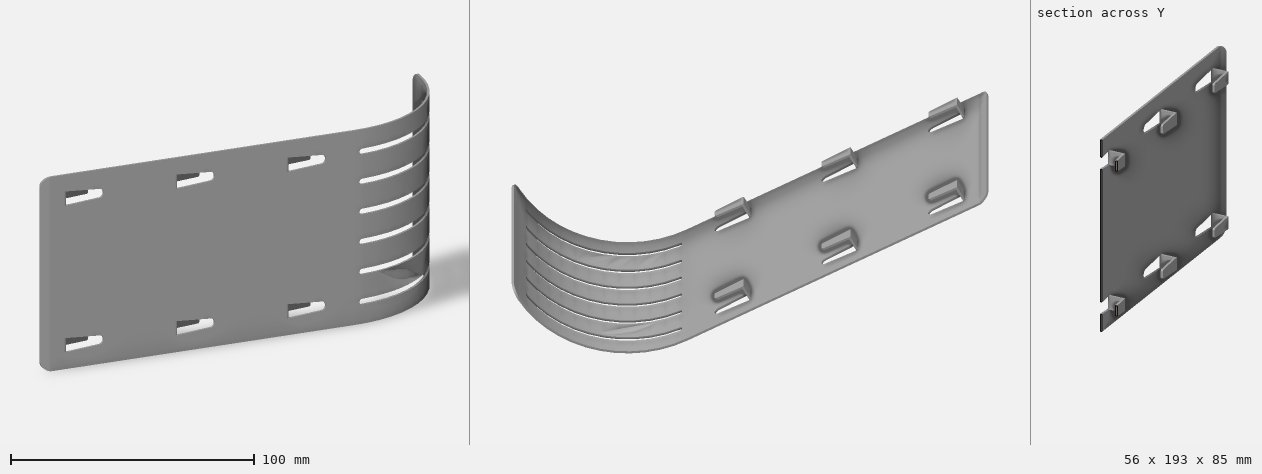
import cadquery as cq
import math

length = 193.0
width = 85.0
thickness = 1.0

bend_radius = 52.0
top_lip = 4.0

end_lip = 4.0
end_lip_angle = 15.0
corner_radius = 5.0

slot_count = 6
slot_pitch = 13.1
slot_width = 2.5
slot_start_angle = 2.5
slot_end_angle = 83.5
cutter_overrun = 2.0

hook_count = 3
hook_pitch = 50.0
first_hook_y = 10.8
hook_row_z = 32.0
hook_height = 8.0
hook_reach = 13.5
hook_root_width = 6.4
hook_tip_width = 4.0
tip_corner_radius = 0.8
opening_length = 17.8
root_bend_radius = 0.4

inner_radius = bend_radius - thickness
centre_x = -bend_radius
centre_y = length - bend_radius
end_lip_rise = end_lip * math.sin(math.radians(end_lip_angle))
end_lip_run = end_lip * math.cos(math.radians(end_lip_angle))
total_x = bend_radius + top_lip


def on_curve(radius, angle):
    """Point at a distance and angle (from the plate) about the curve centre."""
    turn = math.radians(angle)
    return (centre_x + radius * math.cos(turn), centre_y + radius * math.sin(turn))


def extrude_z(profile, height, z=0.0):
    """Extrude an XY profile by height, centred on level z."""
    return profile.extrude(height / 2, both=True).translate((0, 0, z))


def bent_sheet():
    mitre = thickness * math.tan(math.radians(end_lip_angle / 2))
    across_x = thickness * math.cos(math.radians(end_lip_angle))
    across_y = thickness * math.sin(math.radians(end_lip_angle))
    profile = (
        cq.Workplane("XY")
        .moveTo(-end_lip_rise, 0)
        .lineTo(0, end_lip_run)
        .lineTo(0, centre_y)
        .threePointArc(on_curve(bend_radius, 45), on_curve(bend_radius, 90))
        .lineTo(-total_x, length)
        .lineTo(-total_x, length - thickness)
        .lineTo(*on_curve(inner_radius, 90))
        .threePointArc(on_curve(inner_radius, 45), on_curve(inner_radius, 0))
        .lineTo(-thickness, end_lip_run + mitre)
        .lineTo(-end_lip_rise - across_x, across_y)
        .close()
    )
    return extrude_z(profile, width)


def rounded_envelope():
    """Block that rounds the two free corners at each end of the sheet."""
    block = cq.Workplane("XY").box(total_x, length, width).translate((-total_x / 2, length / 2, 0))
    lower = block.edges("|X and <Y").fillet(corner_radius)
    upper = block.edges("|Y and <X").fillet(corner_radius)
    return lower.intersect(upper)


def curved_slot(z):
    """Slot cutter following the curve, with round ends bored radially."""
    inside = inner_radius - cutter_overrun
    outside = bend_radius + cutter_overrun
    end_turn = math.degrees(slot_width / 2 / bend_radius)
    start = slot_start_angle + end_turn
    end = slot_end_angle - end_turn
    middle = (start + end) / 2
    sector = (
        cq.Workplane("XY")
        .moveTo(*on_curve(inside, start))
        .lineTo(*on_curve(outside, start))
        .threePointArc(on_curve(outside, middle), on_curve(outside, end))
        .lineTo(*on_curve(inside, end))
        .threePointArc(on_curve(inside, middle), on_curve(inside, start))
        .close()
    )
    cutter = extrude_z(sector, slot_width, z)
    for angle in (start, end):
        turn = math.radians(angle)
        x, y = on_curve(inside, angle)
        bore = cq.Solid.makeCylinder(
            slot_width / 2,
            outside - inside,
            cq.Vector(x, y, z),
            cq.Vector(math.cos(turn), math.sin(turn), 0),
        )
        cutter = cutter.union(cq.Workplane(obj=bore))
    return cutter


def hook_opening(y, z):
    """Tapered, round-tipped cutter left where the tongue is cut free."""
    tip_radius = hook_tip_width / 2
    straight = opening_length - tip_radius
    outline = (
        cq.Workplane("YZ")
        .moveTo(0, -hook_root_width / 2)
        .lineTo(straight, -tip_radius)
        .threePointArc((opening_length, 0), (straight, tip_radius))
        .lineTo(0, hook_root_width / 2)
        .close()
    )
    return outline.extrude(thickness, both=True).translate((0, y - root_bend_radius, z))


def hook(y, z):
    """L-shaped hook: a leg off the plate and a tongue along +Y."""
    outer_bend = root_bend_radius + thickness
    diagonal = math.sqrt(0.5)
    outer_middle = outer_bend * (diagonal - 1), outer_bend * diagonal - root_bend_radius
    inner_middle = root_bend_radius * diagonal - outer_bend, root_bend_radius * (diagonal - 1)
    side = (
        cq.Workplane("XY")
        .moveTo(0, -root_bend_radius)
        .lineTo(-thickness, -root_bend_radius)
        .threePointArc(inner_middle, (-outer_bend, 0))
        .lineTo(-hook_height, 0)
        .lineTo(-hook_height, hook_reach)
        .lineTo(thickness - hook_height, hook_reach)
        .lineTo(thickness - hook_height, thickness)
        .lineTo(-outer_bend, thickness)
        .threePointArc(outer_middle, (0, -root_bend_radius))
        .close()
    )
    taper = (hook_root_width - hook_tip_width) / (hook_height + hook_reach)
    fold_width = hook_root_width - taper * hook_height
    leg_outline = (
        cq.Workplane("XZ")
        .moveTo(0, -hook_root_width / 2)
        .lineTo(-hook_height, -fold_width / 2)
        .lineTo(-hook_height, fold_width / 2)
        .lineTo(0, hook_root_width / 2)
        .close()
        .extrude(hook_reach, both=True)
    )
    tongue_outline = (
        cq.Workplane("YZ")
        .moveTo(-root_bend_radius, -hook_root_width / 2)
        .lineTo(thickness, -hook_root_width / 2)
        .lineTo(thickness, -fold_width / 2)
        .lineTo(hook_reach, -hook_tip_width / 2)
        .lineTo(hook_reach, hook_tip_width / 2)
        .lineTo(thickness, fold_width / 2)
        .lineTo(thickness, hook_root_width / 2)
        .lineTo(-root_bend_radius, hook_root_width / 2)
        .close()
        .extrude(-hook_height)
        .edges("|X and >Y")
        .fillet(tip_corner_radius)
    )
    folded = extrude_z(side, hook_root_width)
    return folded.intersect(leg_outline).intersect(tongue_outline).translate((0, y, z))


result = bent_sheet().intersect(rounded_envelope())

for index in range(slot_count):
    slot_z = (index - (slot_count - 1) / 2) * slot_pitch
    result = result.cut(curved_slot(slot_z))

for index in range(hook_count):
    hook_y = first_hook_y + index * hook_pitch
    for row_z in (-hook_row_z, hook_row_z):
        result = result.cut(hook_opening(hook_y, row_z))
        result = result.union(hook(hook_y, row_z))